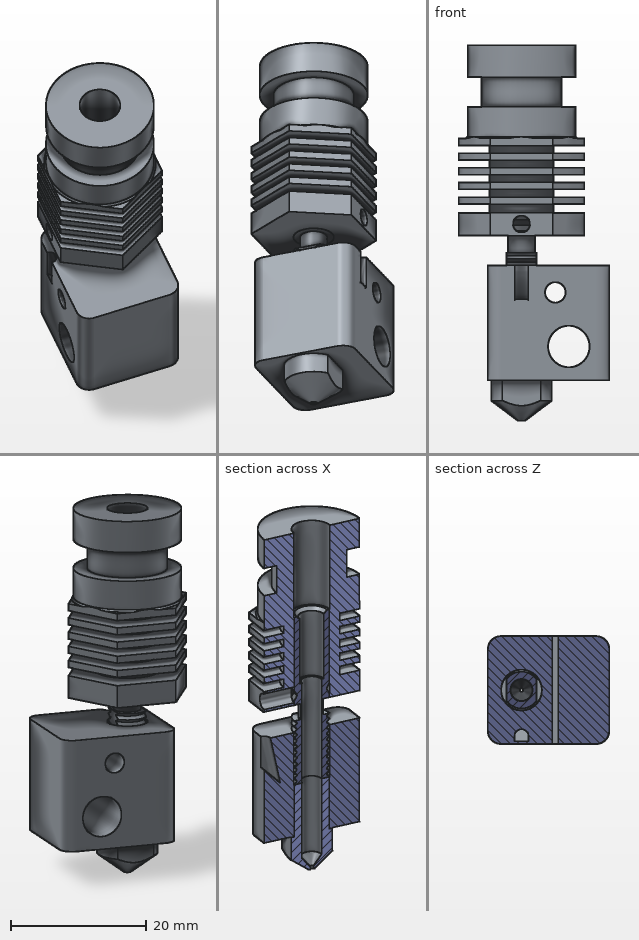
import cadquery as cq
import math


nozzle_diameter = 9.0
nozzle_across_flats = 7.0
nozzle_tip_diameter = 1.0
nozzle_cone_height = 3.0
nozzle_collar_height = 3.0
orifice_diameter = 0.5
orifice_length = 0.5
funnel_height = 1.65

block_length = 18.0
block_width = 16.0
block_height = 17.0
block_left_x = -5.0
block_corner_radius = 2.0
cartridge_diameter = 6.1
cartridge_x = 7.0
cartridge_above_bottom = 5.0
sensor_diameter = 3.0
sensor_x = 5.0
sensor_below_top = 4.0
slot_diameter = 2.0
slot_height = 5.0
slot_tilt = 12.0
slot_floor_slope = 45.0

shank_diameter = 6.0
neck_diameter = 4.0
filament_diameter = 3.2
groove_root_diameter = 5.0
thread_pitch = 0.95
thread_groove_count = 11
thread_across_flats = 4.5
thread_exposed = 1.9
neck_length = 2.5
shank_length = 14.45
liner_diameter = 4.0
liner_depth = 11.1
mouth_diameter = 5.1
grub_groove_width = 1.65
grub_groove_above_sink_bottom = 1.55

hex_across_flats = 16.1
base_height = 3.4
base_gap = 1.3
fin_count = 5
fin_thickness = 1.05
fin_pitch = 2.15
core_diameter = 9.5
collar_diameter = 16.0
mount_groove_diameter = 11.9
lower_collar_height = 4.65
mount_groove_height = 4.4
upper_collar_height = 4.7
collar_flare = 0.3
grub_hole_diameter = 2.5
grub_hole_above_bottom = 1.7

block_bottom = nozzle_cone_height + nozzle_collar_height
block_top = block_bottom + block_height
thread_top = block_top + thread_exposed
thread_length = thread_groove_count * thread_pitch
nozzle_top = thread_top - thread_length
sink_bottom = thread_top + neck_length
shank_top = sink_bottom + shank_length
base_top = sink_bottom + base_height
first_fin_bottom = base_top + base_gap
top_fin_top = first_fin_bottom + (fin_count - 1) * fin_pitch + fin_thickness
mount_groove_bottom = top_fin_top + lower_collar_height
mount_groove_top = mount_groove_bottom + mount_groove_height
sink_top = mount_groove_top + upper_collar_height


def cylinder(diameter, bottom, top):
    return cq.Workplane("XY").workplane(offset=bottom).circle(diameter / 2).extrude(top - bottom)


def cone(bottom_diameter, top_diameter, bottom, top):
    return cq.Workplane(cq.Solid.makeCone(bottom_diameter / 2, top_diameter / 2, top - bottom,
                                          pnt=cq.Vector(0, 0, bottom)))


def hexagon(bottom, top):
    across_corners = hex_across_flats / math.cos(math.radians(30))
    return cq.Workplane("XY").workplane(offset=bottom).polygon(6, across_corners).extrude(top - bottom)


def v_groove(middle, width, outer_diameter, root_diameter):
    """Ring that cuts a V-shaped groove around a shaft."""
    outer_radius = outer_diameter / 2
    profile = [
        (outer_radius, middle - width / 2),
        (root_diameter / 2, middle),
        (outer_radius, middle + width / 2),
    ]
    return cq.Workplane("XZ").polyline(profile).close().revolve(360, (0, 0, 0), (0, 1, 0))


def make_nozzle():
    tip = cone(nozzle_tip_diameter, nozzle_diameter, 0, nozzle_cone_height)
    collar = cylinder(nozzle_diameter, nozzle_cone_height, block_bottom)
    flats = cq.Workplane("XY").box(nozzle_diameter, nozzle_across_flats, block_bottom,
                                   centered=(True, True, False))
    stem = cylinder(shank_diameter, block_bottom, nozzle_top)
    body = tip.union(collar).intersect(flats).union(stem)

    funnel_top = orifice_length + funnel_height
    orifice = cylinder(orifice_diameter, 0, orifice_length)
    funnel = cone(orifice_diameter, filament_diameter, orifice_length, funnel_top)
    bore = cylinder(filament_diameter, funnel_top, nozzle_top)
    return body.cut(orifice).cut(funnel).cut(bore)


def cross_hole(diameter, x, z):
    """Cutter for a hole that passes through the block along Y."""
    return (
        cq.Workplane("XZ")
        .center(x, z)
        .circle(diameter / 2)
        .extrude(block_width / 2, both=True)
    )


def make_wire_slot():
    """Slot cutter, open to the -Y face and the top; its round back leans inward on the way down."""
    front_y = -block_width / 2
    lip_z = block_top - slot_height
    back_run = math.tan(math.radians(slot_tilt))
    floor_fall = math.tan(math.radians(slot_floor_slope))

    end_depth = slot_height * back_run / (1 - floor_fall * back_run)
    end_z = lip_z - end_depth * floor_fall
    walls = (
        cq.Workplane("YZ")
        .polyline([(front_y, block_top), (front_y, lip_z), (front_y + end_depth, end_z)])
        .close()
        .extrude(slot_diameter / 2, both=True)
    )

    round_back = (
        cylinder(slot_diameter, -2 * slot_height, slot_height)
        .rotate((0, 0, 0), (1, 0, 0), slot_tilt)
        .translate((0, front_y, block_top))
    )
    reach = 2 * slot_height
    above_floor = (
        cq.Workplane("YZ")
        .polyline([
            (front_y, block_top),
            (front_y, lip_z),
            (front_y + reach, lip_z - reach * floor_fall),
            (front_y + reach, block_top),
        ])
        .close()
        .extrude(slot_diameter, both=True)
    )
    return walls.union(round_back.intersect(above_floor))


def make_block():
    body = (
        cq.Workplane("XY")
        .box(block_length, block_width, block_height, centered=(False, True, False))
        .edges("|Z")
        .fillet(block_corner_radius)
        .translate((block_left_x, 0, block_bottom))
    )
    through_bore = cylinder(shank_diameter, block_bottom, block_top)
    cartridge_hole = cross_hole(cartridge_diameter, cartridge_x, block_bottom + cartridge_above_bottom)
    sensor_hole = cross_hole(sensor_diameter, sensor_x, block_top - sensor_below_top)
    return body.cut(through_bore).cut(cartridge_hole).cut(sensor_hole).cut(make_wire_slot())


def make_thread():
    """Threaded end as a stack of V-grooves, flattened on both X sides."""
    thread = cylinder(shank_diameter, nozzle_top, thread_top)
    for index in range(thread_groove_count):
        middle = thread_top - (index + 0.5) * thread_pitch
        thread = thread.cut(v_groove(middle, thread_pitch, shank_diameter, groove_root_diameter))
    flats = (
        cq.Workplane("XY")
        .box(thread_across_flats, shank_diameter, thread_length, centered=(True, True, False))
        .translate((0, 0, nozzle_top))
    )
    return thread.intersect(flats)


def make_heat_break():
    grub_groove = v_groove(sink_bottom + grub_groove_above_sink_bottom, grub_groove_width,
                           shank_diameter, groove_root_diameter)
    shank = cylinder(shank_diameter, sink_bottom, shank_top).cut(grub_groove)
    neck = cylinder(neck_diameter, thread_top, sink_bottom)
    body = make_thread().union(neck).union(shank)

    filament_bore = cylinder(filament_diameter, nozzle_top, shank_top)
    liner_bore = cylinder(liner_diameter, shank_top - liner_depth, shank_top)
    mouth_depth = (mouth_diameter - liner_diameter) / 2
    mouth = cone(liner_diameter, mouth_diameter, shank_top - mouth_depth, shank_top)
    return body.cut(filament_bore).cut(liner_bore).cut(mouth)


def make_heat_sink():
    body = hexagon(sink_bottom, base_top)
    body = body.union(cylinder(core_diameter, base_top, top_fin_top))
    for index in range(fin_count):
        fin_bottom = first_fin_bottom + index * fin_pitch
        body = body.union(hexagon(fin_bottom, fin_bottom + fin_thickness))

    flare_top = top_fin_top + collar_flare
    flare = cone(collar_diameter + 2 * collar_flare, collar_diameter, top_fin_top, flare_top)
    body = body.union(flare.intersect(hexagon(top_fin_top, flare_top)))
    body = body.union(cylinder(collar_diameter, top_fin_top, mount_groove_bottom))
    body = body.union(cylinder(mount_groove_diameter, mount_groove_bottom, mount_groove_top))
    body = body.union(cylinder(collar_diameter, mount_groove_top, sink_top))

    bore = cylinder(shank_diameter, sink_bottom, sink_top)
    grub_hole = (
        cq.Workplane("XZ")
        .center(0, sink_bottom + grub_hole_above_bottom)
        .circle(grub_hole_diameter / 2)
        .extrude(hex_across_flats / 2)
    )
    return body.cut(bore).cut(grub_hole)


nozzle = make_nozzle()
block = make_block()
heat_break = make_heat_break()
heat_sink = make_heat_sink()

result = cq.Compound.makeCompound([nozzle.val(), block.val(), heat_break.val(), heat_sink.val()])